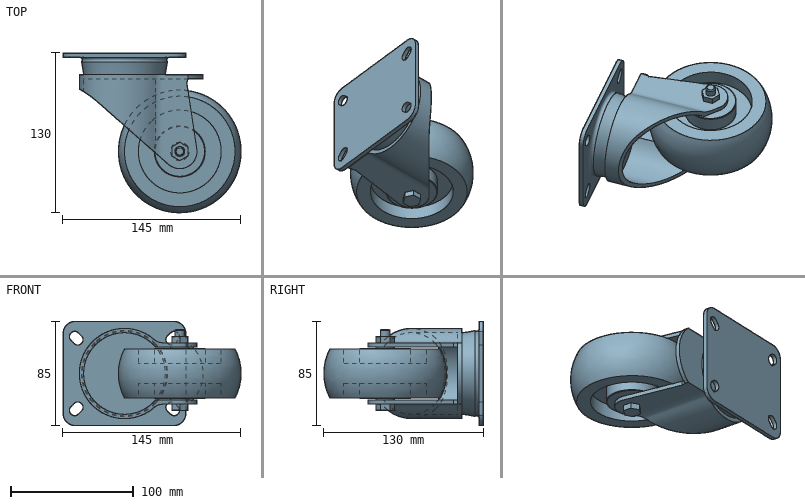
import cadquery as cq
import math


PLATE_LENGTH = 100.0
PLATE_WIDTH = 85.0
PLATE_THICKNESS = 3.5
PLATE_CORNER_RADIUS = 10.0
SLOT_WIDTH = 8.5
SLOT_LENGTH = 12.0
SLOT_SPACING_X = 78.5
SLOT_SPACING_Z = 57.5
SLOT_ANGLE = 45.0

HEAD_ROOT_RADIUS = 36.75
HEAD_NECK_RADIUS = 34.5
HEAD_RIM_RADIUS = 35.0
HEAD_END_RADIUS = 33.25
HEAD_NECK_DEPTH = 5.25
HEAD_RIM_DEPTH = 7.0

AXLE_X = 45.0
AXLE_Y = -80.0
WHEEL_RADIUS = 50.0
TREAD_EDGE_RADIUS = 45.0
WHEEL_WIDTH = 40.0
RECESS_RADIUS = 67.5 / 2
RECESS_DEPTH = 12.0
HUB_RADIUS = 41.5 / 2
HUB_WIDTH = 41.0
HUB_CHAMFER = 0.5

SHEET = 3.5
FORK_RADIUS = 73.5 / 2
FORK_TOP_Y = -17.5
LEG_GAP = 43.0
BEND_RADIUS = 10.0
LEG_END_RADIUS = 14.0
LEG_EDGE_X = 51.7
LEG_EDGE_Y = -21.0
LEG_NECK_X = 50.8
LEG_NECK_Y = -24.5
FRONT_EDGE_Y = -29.2
CUT_START_X = -21.0
CUT_START_Y = -40.5
NOSE_X = 64.0

BOLT_RADIUS = 4.0
BOLT_TIP_Z = 36.0
BOLT_CHAMFER = 1.0
HEX_FLATS = 13.0
HEX_HEIGHT = 5.0
SPACER_RADIUS = 7.5

leg_inner_z = LEG_GAP / 2
leg_outer_z = leg_inner_z + SHEET
fork_bore_radius = FORK_RADIUS - SHEET
fork_end_x = AXLE_X + LEG_END_RADIUS


def axle_cylinder(radius, z_start, z_end):
    plane = cq.Workplane("XY", origin=(AXLE_X, AXLE_Y, z_start))
    return plane.circle(radius).extrude(z_end - z_start)


def make_plate():
    plate = cq.Workplane("XZ").rect(PLATE_LENGTH, PLATE_WIDTH).extrude(PLATE_THICKNESS)
    plate = plate.edges("|Y").fillet(PLATE_CORNER_RADIUS)
    for side_x in (-1, 1):
        for side_z in (-1, 1):
            slot = (
                cq.Workplane("XZ")
                .center(side_x * SLOT_SPACING_X / 2, side_z * SLOT_SPACING_Z / 2)
                .transformed(rotate=(0, 0, side_x * side_z * SLOT_ANGLE))
                .slot2D(SLOT_LENGTH, SLOT_WIDTH)
                .extrude(PLATE_THICKNESS)
            )
            plate = plate.cut(slot)
    return plate


def make_head():
    """Revolved head: a rounded neck under the plate, then a cone down to the fork."""
    profile = (
        cq.Workplane("XY")
        .moveTo(0, -PLATE_THICKNESS)
        .lineTo(HEAD_ROOT_RADIUS, -PLATE_THICKNESS)
        .threePointArc((HEAD_NECK_RADIUS, -HEAD_NECK_DEPTH), (HEAD_RIM_RADIUS, -HEAD_RIM_DEPTH))
        .lineTo(HEAD_END_RADIUS, FORK_TOP_Y)
        .lineTo(0, FORK_TOP_Y)
        .close()
    )
    return profile.revolve(360, (0, 0, 0), (0, 1, 0))


def fork_outside(depth):
    """Outer prism of the fork: a ring running through two bends into the parallel legs."""
    center_distance = FORK_RADIUS + BEND_RADIUS
    bend_z = leg_outer_z + BEND_RADIUS
    bend_x = math.sqrt(center_distance**2 - bend_z**2)
    touch_x = bend_x * FORK_RADIUS / center_distance
    touch_z = bend_z * FORK_RADIUS / center_distance
    mid_angle = (math.atan2(bend_z, bend_x) + math.pi / 2) / 2
    mid_x = bend_x - BEND_RADIUS * math.cos(mid_angle)
    mid_z = bend_z - BEND_RADIUS * math.sin(mid_angle)
    return (
        cq.Workplane("XZ", origin=(0, FORK_TOP_Y, 0))
        .moveTo(fork_end_x, leg_outer_z)
        .lineTo(bend_x, leg_outer_z)
        .threePointArc((mid_x, mid_z), (touch_x, touch_z))
        .threePointArc((-FORK_RADIUS, 0), (touch_x, -touch_z))
        .threePointArc((mid_x, -mid_z), (bend_x, -leg_outer_z))
        .lineTo(fork_end_x, -leg_outer_z)
        .close()
        .extrude(depth)
    )


def fork_inside(depth, end_x):
    """Space inside the fork: the ring bore opening into the straight gap between the legs."""
    corner_x = math.sqrt(fork_bore_radius**2 - leg_inner_z**2)
    return (
        cq.Workplane("XZ", origin=(0, FORK_TOP_Y, 0))
        .moveTo(corner_x, leg_inner_z)
        .threePointArc((-fork_bore_radius, 0), (corner_x, -leg_inner_z))
        .lineTo(end_x, -leg_inner_z)
        .lineTo(end_x, leg_inner_z)
        .close()
        .extrude(depth)
    )


def make_web():
    """Top sheet closing the fork, with a curved nose as wide as the fork over the wheel."""
    nose = (
        cq.Workplane("XZ", origin=(0, FORK_TOP_Y, 0))
        .moveTo(LEG_EDGE_X, leg_outer_z)
        .threePointArc((NOSE_X, 0), (LEG_EDGE_X, -leg_outer_z))
        .close()
        .extrude(SHEET)
    )
    return fork_inside(SHEET, LEG_EDGE_X).union(nose)


def leg_tangent_point(x, y, side):
    """Point where a line from (x, y) touches the round leg end; side picks which one."""
    dx = x - AXLE_X
    dy = y - AXLE_Y
    angle = math.atan2(dy, dx) + side * math.acos(LEG_END_RADIUS / math.hypot(dx, dy))
    return (
        AXLE_X + LEG_END_RADIUS * math.cos(angle),
        AXLE_Y + LEG_END_RADIUS * math.sin(angle),
    )


def make_fork():
    height = FORK_TOP_Y - AXLE_Y + LEG_END_RADIUS
    cut_end = leg_tangent_point(CUT_START_X, CUT_START_Y, 1)
    edge_end = leg_tangent_point(LEG_NECK_X, LEG_NECK_Y, -1)
    side_outline = (
        cq.Workplane("XY", origin=(0, 0, -FORK_RADIUS))
        .moveTo(-FORK_RADIUS, FORK_TOP_Y)
        .lineTo(LEG_EDGE_X, FORK_TOP_Y)
        .lineTo(LEG_EDGE_X, LEG_EDGE_Y)
        .lineTo(LEG_NECK_X, LEG_NECK_Y)
        .lineTo(*edge_end)
        .threePointArc((AXLE_X, AXLE_Y - LEG_END_RADIUS), cut_end)
        .lineTo(CUT_START_X, CUT_START_Y)
        .tangentArcPoint((-FORK_RADIUS, FRONT_EDGE_Y), relative=False)
        .close()
        .extrude(2 * FORK_RADIUS)
    )
    legs = fork_outside(height).intersect(side_outline).cut(fork_inside(height, fork_end_x))
    return legs.union(make_web())


def make_wheel():
    """Crowned wheel with a recess and a slightly raised hub on both faces."""
    half_width = WHEEL_WIDTH / 2
    tread = (
        cq.Workplane("XZ", origin=(AXLE_X, AXLE_Y, 0))
        .moveTo(0, -half_width)
        .lineTo(TREAD_EDGE_RADIUS, -half_width)
        .threePointArc((WHEEL_RADIUS, 0), (TREAD_EDGE_RADIUS, half_width))
        .lineTo(0, half_width)
        .close()
        .revolve(360, (0, 0, 0), (0, 1, 0))
    )
    floor_z = half_width - RECESS_DEPTH
    for z_start in (-half_width, floor_z):
        tread = tread.cut(axle_cylinder(RECESS_RADIUS, z_start, z_start + RECESS_DEPTH))
    hub = axle_cylinder(HUB_RADIUS, -HUB_WIDTH / 2, HUB_WIDTH / 2)
    hub = hub.faces("|Z").edges().chamfer(HUB_CHAMFER)
    return tread.union(hub)


def hexagon(z_start):
    corner_diameter = HEX_FLATS / math.cos(math.pi / 6)
    plane = cq.Workplane("XY", origin=(AXLE_X, AXLE_Y, z_start))
    plane = plane.transformed(rotate=(0, 0, 90))
    return plane.polygon(6, corner_diameter).extrude(HEX_HEIGHT)


def make_axle():
    """Bolt with its head below, nut above and the spacer that fills the fork gap."""
    shank = axle_cylinder(BOLT_RADIUS, -leg_outer_z, BOLT_TIP_Z)
    shank = shank.faces(">Z").chamfer(BOLT_CHAMFER)
    spacer = axle_cylinder(SPACER_RADIUS, -leg_inner_z, leg_inner_z)
    head = hexagon(-leg_outer_z - HEX_HEIGHT)
    nut = hexagon(leg_outer_z)
    return shank.union(spacer).union(head).union(nut)


result = make_plate()
for component in (make_head(), make_fork(), make_wheel(), make_axle()):
    result = result.union(component)